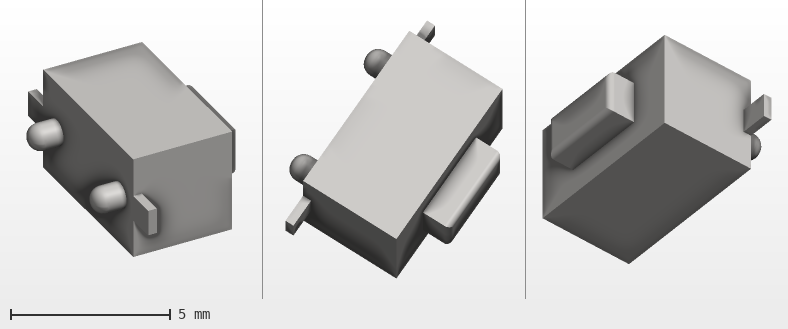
import cadquery as cq

body_length = 6.0
body_depth = 3.5
body_height = 3.6

button_length = 3.0
button_height = 1.6
button_travel = 1.0
button_edge_radius = 0.2

terminal_reach = 1.0
terminal_width = 0.9
terminal_thickness = 0.3

peg_diameter = 0.9
peg_length = 1.0
peg_spacing = 4.2
peg_tip_radius = 0.4


def block(length, depth, height, y_start):
    """Box centred on X and Z that runs from y_start toward +Y."""
    return cq.Workplane("XY").box(length, depth, height).translate((0, y_start + depth / 2, 0))


def make_button():
    button = block(button_length, button_travel, button_height, body_depth)
    return button.faces(">Y").edges().fillet(button_edge_radius)


def make_terminals():
    """One strip through the body whose two ends are the terminals."""
    strip_length = body_length + 2 * terminal_reach
    return block(strip_length, terminal_thickness, terminal_width, 0)


def make_peg(x):
    """Round peg with a domed tip that keeps a tiny flat at its centre."""
    peg = cq.Workplane("XZ").center(x, 0).circle(peg_diameter / 2).extrude(peg_length)
    return peg.faces("<Y").edges().fillet(peg_tip_radius)


result = block(body_length, body_depth, body_height, 0)
result = result.union(make_button()).union(make_terminals())
for side in (-1, 1):
    result = result.union(make_peg(side * peg_spacing / 2))